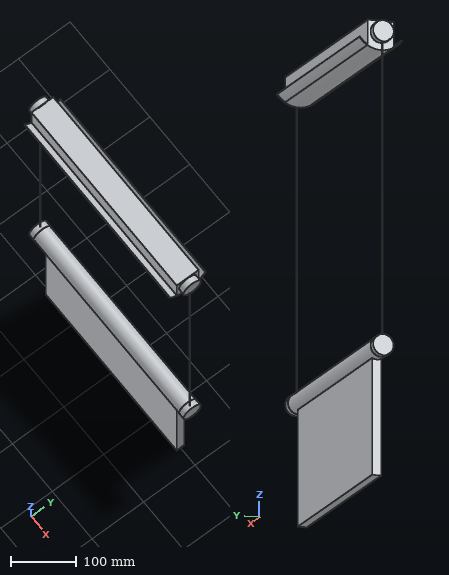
import cadquery as cq
import math

total_height = 718.5
total_length = 387.0
cap_length = 11.5
cap_diameter = 34.0
tube_diameter = 33.0
cable_diameter = 1.5

housing_width = 42.5
housing_height = 47.0
upper_axis_drop = 19.0
shade_width = 70.5
shade_rise = 18.0
shade_thickness = 1.0

lower_axis_z = 200.5
panel_length = 328.0
panel_thickness = 15.0

body_length = total_length - 2 * cap_length
cable_x = (total_length - cap_length) / 2
upper_axis_z = total_height - upper_axis_drop
shade_bottom_z = total_height - housing_height
shade_radius = ((shade_width / 2) ** 2 + shade_rise ** 2) / (2 * shade_rise)
shade_center_z = shade_bottom_z + shade_radius


def bar(length, diameter, axis_z):
    """Round bar along X, centred on the middle of the part."""
    profile = cq.Workplane("YZ").center(0, axis_z).circle(diameter / 2)
    return profile.extrude(length / 2, both=True)


def arc_z(radius, y):
    """Height of the lower side of a shade arc at a distance y from its middle."""
    return shade_center_z - math.sqrt(radius ** 2 - y ** 2)


def housing():
    """Square-topped housing whose underside follows the shade."""
    half_width = housing_width / 2
    side_bottom_z = arc_z(shade_radius, half_width)
    return (
        cq.Workplane("YZ")
        .moveTo(-half_width, total_height)
        .lineTo(-half_width, side_bottom_z)
        .threePointArc((0, shade_bottom_z), (half_width, side_bottom_z))
        .lineTo(half_width, total_height)
        .close()
        .extrude(body_length / 2, both=True)
    )


def shade():
    """Thin curved sheet beneath the housing, with ends cut along the arc radius."""
    inner_radius = shade_radius - shade_thickness
    outer_y = shade_width / 2
    inner_y = outer_y * inner_radius / shade_radius
    outer_z = arc_z(shade_radius, outer_y)
    inner_z = arc_z(inner_radius, inner_y)
    return (
        cq.Workplane("YZ")
        .moveTo(-outer_y, outer_z)
        .threePointArc((0, shade_bottom_z), (outer_y, outer_z))
        .lineTo(inner_y, inner_z)
        .threePointArc((0, shade_bottom_z + shade_thickness), (-inner_y, inner_z))
        .close()
        .extrude(body_length / 2, both=True)
    )


def cables():
    """Two suspension cables joining the end caps of the upper and lower bars."""
    return (
        cq.Workplane("XY", origin=(0, 0, lower_axis_z))
        .pushPoints([(-cable_x, 0), (cable_x, 0)])
        .circle(cable_diameter / 2)
        .extrude(upper_axis_z - lower_axis_z)
    )


def end_caps(axis_z):
    """Pair of round caps at the two ends of a bar."""
    return (
        cq.Workplane("YZ", origin=(-total_length / 2, 0, axis_z))
        .circle(cap_diameter / 2)
        .extrude(cap_length)
        .union(
            cq.Workplane("YZ", origin=(body_length / 2, 0, axis_z))
            .circle(cap_diameter / 2)
            .extrude(cap_length)
        )
    )


def panel():
    """Flat panel hanging from the lower tube."""
    return cq.Workplane("XY").rect(panel_length, panel_thickness).extrude(lower_axis_z)


upper_assembly = housing().union(shade()).union(end_caps(upper_axis_z))
lower_tube = bar(body_length, tube_diameter, lower_axis_z)
lower_assembly = lower_tube.union(end_caps(lower_axis_z)).union(panel())
result = upper_assembly.union(lower_assembly).union(cables())